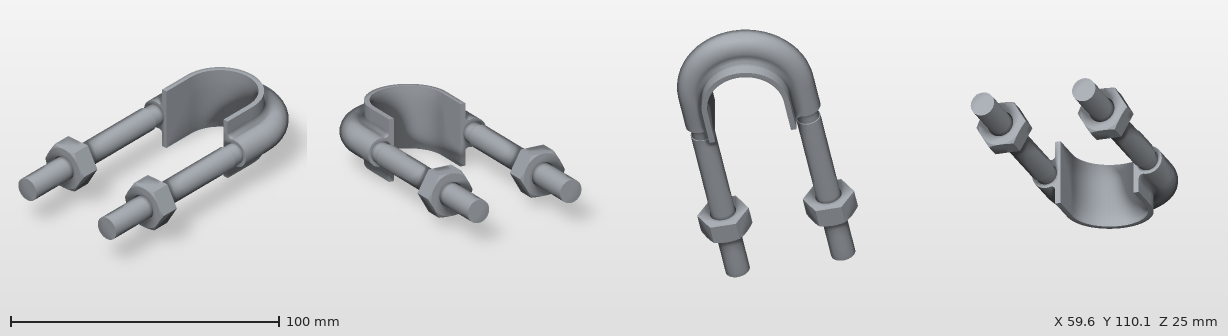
import cadquery as cq
import math

total_length = 110.1
leg_offset = 20.0

sleeve_radius = 5.6
strip_inner_radius = 14.4
strip_outer_radius = 16.5
strip_height = 25.0
sleeve_fillet = 1.7
saddle_leg_length = 13.8
channel_diameter = 8.4

rod_diameter = 8.3
thread_diameter = 9.2
thread_length = 65.9
leg_end_y = leg_offset + sleeve_radius - total_length
thread_start_y = leg_end_y + thread_length
rod_leg_length = -thread_start_y

nut_across_flats = 17.0
nut_thickness = 8.0
nut_bore = 10.0
nut_end_gap = 19.9
nut_chamfer_angle = math.radians(30)
nut_corner_radius = nut_across_flats / math.sqrt(3)
nut_outer_y = leg_end_y + nut_end_gap


def sweep_u(section, leg_length):
    """Carry a section, drawn in XZ at +X, round the bend and along both straight legs."""
    bend = section.revolve(180, (0, 0, 0), (0, 1, 0))
    right_leg = section.toPending().extrude(leg_length)
    left_leg = right_leg.mirror("YZ")
    return bend.union(right_leg).union(left_leg)


def saddle_section():
    """Strip with the rod sleeve on its outside, joined by fillets."""
    fillet_x = strip_outer_radius + sleeve_fillet
    center_distance = sleeve_radius + sleeve_fillet
    fillet_z = math.sqrt(center_distance**2 - (leg_offset - fillet_x) ** 2)
    sleeve_share = sleeve_radius / center_distance
    join_x = leg_offset + (fillet_x - leg_offset) * sleeve_share
    join_z = fillet_z * sleeve_share
    sleeve_angle = math.atan2(-fillet_z, leg_offset - fillet_x)
    middle_angle = (sleeve_angle - math.pi) / 2
    middle_x = fillet_x + sleeve_fillet * math.cos(middle_angle)
    middle_z = fillet_z + sleeve_fillet * math.sin(middle_angle)
    half_height = strip_height / 2
    return (
        cq.Workplane("XZ")
        .moveTo(strip_inner_radius, -half_height)
        .lineTo(strip_outer_radius, -half_height)
        .lineTo(strip_outer_radius, -fillet_z)
        .threePointArc((middle_x, -middle_z), (join_x, -join_z))
        .threePointArc((leg_offset + sleeve_radius, 0), (join_x, join_z))
        .threePointArc((middle_x, middle_z), (strip_outer_radius, fillet_z))
        .lineTo(strip_outer_radius, half_height)
        .lineTo(strip_inner_radius, half_height)
        .close()
    )


def round_section(diameter):
    return cq.Workplane("XZ").moveTo(leg_offset, 0).circle(diameter / 2)


def make_saddle():
    body = sweep_u(saddle_section(), saddle_leg_length)
    channel = sweep_u(round_section(channel_diameter), saddle_leg_length)
    return body.cut(channel)


def make_rod():
    return sweep_u(round_section(rod_diameter), rod_leg_length)


def make_threaded_end(x):
    return (
        cq.Workplane("XZ", origin=(x, thread_start_y, 0))
        .circle(thread_diameter / 2)
        .extrude(thread_length)
    )


def make_nut(x):
    """Hexagon nut with corners on the X axis, chamfered on its -Y face."""
    hexagon = (
        cq.Workplane("XZ", origin=(x, nut_outer_y + nut_thickness, 0))
        .polygon(6, 2 * nut_corner_radius)
        .circle(nut_bore / 2)
        .extrude(nut_thickness)
    )
    face_radius = nut_across_flats / 2
    chamfer_depth = (nut_corner_radius - face_radius) * math.tan(nut_chamfer_angle)
    envelope = (
        cq.Workplane("XY")
        .moveTo(0, 0)
        .lineTo(face_radius, 0)
        .lineTo(nut_corner_radius, chamfer_depth)
        .lineTo(nut_corner_radius, nut_thickness)
        .lineTo(0, nut_thickness)
        .close()
        .revolve(360, (0, 0, 0), (0, 1, 0))
        .translate((x, nut_outer_y, 0))
    )
    return hexagon.intersect(envelope)


saddle = make_saddle()
rod = make_rod()
threaded_ends = []
nuts = []
for leg_x in (-leg_offset, leg_offset):
    threaded_ends.append(make_threaded_end(leg_x).val())
    nuts.append(make_nut(leg_x).val())

result = cq.Compound.makeCompound([saddle.val(), rod.val(), *threaded_ends, *nuts])